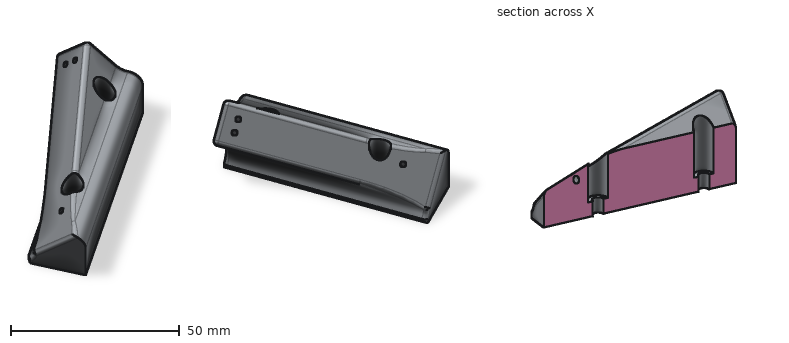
import cadquery as cq
import math

length = 65.0
block_height = 17.6
crest_radius = 4.75
throat_radius = 5.0
edge_radius = 1.5
lip_x = -17.9

arm_top = 10.8
arm_bottom = -8.85
arm_overrun = 52.0
face_offset = 14.8
face_slope = 15.0

screw_x = -9.1
screw_ys = (18.3, 54.1)
screw_diameter = 3.6
head_diameter = 6.5
head_floor = 5.0

pin_places = ((-22.55, 59.35), (-19.6, 59.35), (-10.4, 10.45))
pin_diameter = 1.7
pin_depth = 5.0

diagonal = math.sqrt(0.5)
slope = math.radians(face_slope)
face_normal = cq.Vector(
    -diagonal * math.cos(slope), -math.sin(slope), diagonal * math.cos(slope)
)


def on_circle(center, radius, degrees):
    angle = math.radians(degrees)
    return center[0] + radius * math.cos(angle), center[1] + radius * math.sin(angle)


def make_profile_body():
    """Extrude the block and arm section along the full length."""
    crest_center = (-crest_radius, block_height - crest_radius)
    upper_throat = (-crest_radius, block_height + throat_radius)

    throat_reach = throat_radius * diagonal
    lower_throat = (lip_x - throat_reach, arm_bottom - lip_x - throat_reach)

    tip_top = ((arm_top - arm_overrun) / 2, (arm_top + arm_overrun) / 2)
    tip_bottom = ((arm_bottom - arm_overrun) / 2, (arm_bottom + arm_overrun) / 2)
    return (
        cq.Workplane("XZ")
        .lineTo(0, crest_center[1])
        .threePointArc(
            on_circle(crest_center, crest_radius, 45),
            on_circle(crest_center, crest_radius, 90),
        )
        .threePointArc(
            on_circle(upper_throat, throat_radius, 247.5),
            on_circle(upper_throat, throat_radius, 225),
        )
        .lineTo(*tip_top)
        .lineTo(*tip_bottom)
        .lineTo(*on_circle(lower_throat, throat_radius, 45))
        .threePointArc(
            on_circle(lower_throat, throat_radius, 0),
            on_circle(lower_throat, throat_radius, -45),
        )
        .lineTo(lip_x, 0)
        .close()
        .extrude(-length)
    )


def trim_to_face(body):
    """Remove everything beyond the sloping mounting face."""
    origin = cq.Vector(-diagonal * face_offset, 0, diagonal * face_offset)
    plane = cq.Plane(origin, xDir=(diagonal, 0, diagonal), normal=face_normal)
    return body.cut(cq.Workplane(plane).rect(4 * length, 4 * length).extrude(length))


def round_edges(body):
    """Round the mounting face, the rear end, the front of the lip and the lip's floor edge."""
    mounting_face = body.faces(cq.selectors.ParallelDirSelector(face_normal))
    rear_edges = body.faces(">Y").edges("not <Z")
    lip_window = cq.selectors.BoxSelector(
        (lip_x - edge_radius, -edge_radius, edge_radius / 2),
        (lip_x + edge_radius, edge_radius, throat_radius)
    )
    lip_front = body.faces("<Y").edges(lip_window)
    lip_floor_edge = body.faces("<Z").edges("<X")
    groups = (mounting_face.edges(), rear_edges, lip_front, lip_floor_edge)
    edges = {edge for group in groups for edge in group.vals()}
    return body.newObject(list(edges)).fillet(edge_radius)


def cut_screw_holes(body):
    for y in screw_ys:
        shaft = cq.Workplane(origin=(screw_x, y, 0)).circle(screw_diameter / 2).extrude(length)
        head = (
            cq.Workplane(origin=(screw_x, y, head_floor)).circle(head_diameter / 2).extrude(length)
        )
        body = body.cut(shaft).cut(head)
    return body


def cut_pin_holes(body):
    for x, y in pin_places:
        z = x + (face_offset + y * math.tan(slope)) / diagonal
        mouth = cq.Vector(x, y, z)
        pin = cq.Solid.makeCylinder(
            pin_diameter / 2, 2 * pin_depth, mouth + face_normal * pin_depth, face_normal * -1
        )
        body = body.cut(cq.Workplane(pin))
    return body


body = trim_to_face(make_profile_body())
body = round_edges(body)
body = cut_screw_holes(body)
result = cut_pin_holes(body)